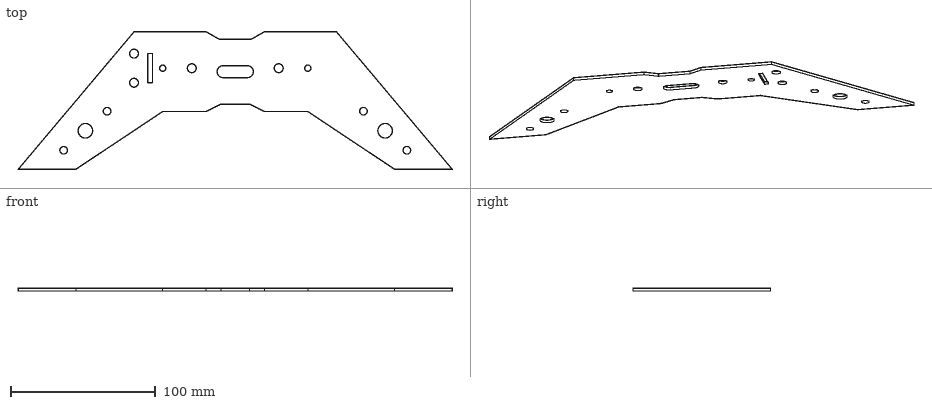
import cadquery as cq

span = 300.0
height = 95.0
thickness = 2.0
half_span = span / 2
foot_inner_x = 110.0
shoulder_x = 70.0
inner_corner_x = 50.0
inner_edge_y = 40.0

waist_outer_x = 20.0
upper_waist_inner_x = 11.0
lower_waist_inner_x = 10.0
waist_depth = 5.0
upper_waist_y = height - waist_depth
lower_waist_y = inner_edge_y + waist_depth

hole_row_y = 70.0
small_hole_diameter = 4.2
small_hole_x = 50.0
medium_hole_diameter = 6.0
medium_hole_x = 30.0
arm_hole_diameter = 5.0
arm_large_diameter = 10.0
arm_center_x = 103.5
arm_center_y = 26.7
arm_hole_offset_x = 15.0
arm_hole_offset_y = 13.5

side_hole_x = -shoulder_x
side_hole_spacing = 20.0
strap_slot_x = -58.8
strap_slot_width = 3.0
strap_slot_length = 20.0

center_slot_length = 25.0
center_slot_width = 8.0
center_slot_y = (upper_waist_y + lower_waist_y) / 2


def make_plate():
    """Extrude the outline, mirrored about the centre line."""
    right_side = [
        (upper_waist_inner_x, upper_waist_y),
        (waist_outer_x, height),
        (shoulder_x, height),
        (half_span, 0),
        (foot_inner_x, 0),
        (inner_corner_x, inner_edge_y),
        (waist_outer_x, inner_edge_y),
        (lower_waist_inner_x, lower_waist_y),
    ]
    left_side = [(-x, y) for x, y in reversed(right_side)]
    return cq.Workplane("XY").polyline(right_side + left_side).close().extrude(thickness)


def make_holes(centers, diameter):
    return cq.Workplane("XY").pushPoints(centers).circle(diameter / 2).extrude(thickness)


def on_both_wings(x, y):
    return [(-x, y), (x, y)]


plate = make_plate()

plate = plate.cut(make_holes(on_both_wings(small_hole_x, hole_row_y), small_hole_diameter))
plate = plate.cut(make_holes(on_both_wings(medium_hole_x, hole_row_y), medium_hole_diameter))
plate = plate.cut(make_holes(on_both_wings(arm_center_x, arm_center_y), arm_large_diameter))
for side in (-1, 1):
    arm_hole_x = arm_center_x + side * arm_hole_offset_x
    arm_hole_y = arm_center_y - side * arm_hole_offset_y
    plate = plate.cut(make_holes(on_both_wings(arm_hole_x, arm_hole_y), arm_hole_diameter))

side_holes = [(side_hole_x, hole_row_y + side * side_hole_spacing / 2) for side in (-1, 1)]
plate = plate.cut(make_holes(side_holes, medium_hole_diameter))
strap_slot = (
    cq.Workplane("XY")
    .center(strap_slot_x, hole_row_y)
    .rect(strap_slot_width, strap_slot_length)
    .extrude(thickness)
)
plate = plate.cut(strap_slot)

center_slot = (
    cq.Workplane("XY")
    .center(0, center_slot_y)
    .slot2D(center_slot_length, center_slot_width)
    .extrude(thickness)
)
result = plate.cut(center_slot)